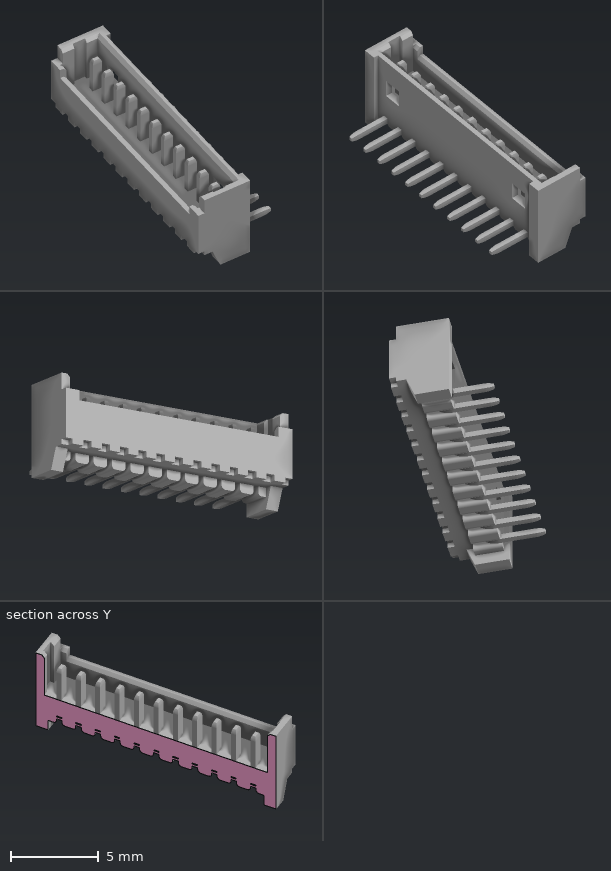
import cadquery as cq
import math


LENGTH = 15.5
HEIGHT = 5.5
END_DEPTH = 3.5
BACK_FACE = 3.21
END_WIDTH = 0.8
BODY_BOTTOM = 1.27
FOOT_TOP_FRONT = 1.0
FOOT_BOTTOM_FRONT = 1.5

SHOULDER_DEPTH = 0.42
SHOULDER_Z = 4.51
FRONT_WALL_TOP = 3.9
FRONT_GAP_MARGIN = 0.95
FRONT_GAP_LENGTH = LENGTH - 2 * FRONT_GAP_MARGIN

CAVITY_FLOOR = 2.55
END_WALL = 0.57
CAVITY_LENGTH = LENGTH - 2 * END_WALL
CAVITY_FRONT = 0.42
CAVITY_BACK = 2.77
LEAD_IN_DROP = 0.2
FRONT_LEAD_IN_DROP = 0.19
LEAD_IN_SIDE = 0.19
LEAD_IN_FRONT = 0.2
LEAD_IN_BACK = 0.22

KEY_FRONT = 1.21
KEY_BACK = 2.05
LEFT_KEY_WALL = 0.37
RIGHT_KEY_WALL = 0.31

PIN_COUNT = 11
PIN_SPAN = 12.51
PITCH = PIN_SPAN / (PIN_COUNT - 1)
PIN_WIDTH = 0.33
PIN_FRONT = 1.75
PIN_DEPTH = 0.62
PIN_TOP = 4.8
POST_TIP_LENGTH = 0.28
POST_TIP_WIDTH = 0.22
POST_TIP_DEPTH = 0.39
TAIL_END = 5.8
TAIL_BOTTOM = 0.87
TAIL_HEIGHT = 0.37
TAIL_TIP_LENGTH = 0.5
TAIL_TIP_SIZE = 0.22
BEND_RADIUS = 1.27

WINDOW_WIDTH = 1.16
WINDOW_BOTTOM = 2.91
WINDOW_TOP = 4.05

RELIEF_DEPTH = 0.42
RELIEF_WIDTH = 0.56
RELIEF_HEIGHT = 0.34
CORNER_RELIEF_WIDTH = 0.46
CORNER_RELIEF_HEIGHT = 0.3
RIB_FRONT = 1.5
RIB_BOTTOM = 0.71
RIB_ROUND = 0.23

pin_xs = [i * PITCH - PIN_SPAN / 2 for i in range(PIN_COUNT)]


def block(x_range, y_range, z_range):
    """Box between the given limits along each axis."""
    sizes = [high - low for low, high in (x_range, y_range, z_range)]
    corner = (x_range[0], y_range[0], z_range[0])
    return cq.Workplane("XY").box(*sizes, centered=False).translate(corner)


def centered(length):
    """Limits of a span centred on zero."""
    return (-length / 2, length / 2)


def housing_blank():
    """Long body with a sloped foot under each end."""
    body = block(centered(LENGTH), (0, BACK_FACE), (BODY_BOTTOM, HEIGHT))
    end_profile = [
        (0, BODY_BOTTOM),
        (FOOT_TOP_FRONT, BODY_BOTTOM),
        (FOOT_BOTTOM_FRONT, 0),
        (END_DEPTH, 0),
        (END_DEPTH, HEIGHT),
        (0, HEIGHT),
    ]
    end = cq.Workplane("YZ").polyline(end_profile).close().extrude(END_WIDTH)
    left = end.translate((-LENGTH / 2, 0, 0))
    return body.union(left).union(left.mirror("YZ"))


def cut_front_steps(housing):
    """Lower the front wall to a shoulder at the ends and further in between."""
    shoulder = block(centered(LENGTH), (0, SHOULDER_DEPTH), (SHOULDER_Z, HEIGHT))
    gap = block(centered(FRONT_GAP_LENGTH), (0, SHOULDER_DEPTH), (FRONT_WALL_TOP, HEIGHT))
    return housing.cut(shoulder).cut(gap)


def rim_lead_in():
    """Tapered opening along the end walls and the back wall."""
    depth = CAVITY_BACK - CAVITY_FRONT
    bottom_z = HEIGHT - LEAD_IN_DROP
    return (
        cq.Workplane("XY", origin=(0, CAVITY_FRONT, bottom_z))
        .center(0, depth / 2)
        .rect(CAVITY_LENGTH, depth)
        .workplane(offset=LEAD_IN_DROP)
        .center(0, LEAD_IN_BACK / 2)
        .rect(CAVITY_LENGTH + 2 * LEAD_IN_SIDE, depth + LEAD_IN_BACK)
        .loft(ruled=True)
    )


def front_lead_in(length, top_z):
    """Wedge that slopes the inner edge of the front wall at height top_z."""
    profile = [
        (CAVITY_FRONT, top_z - FRONT_LEAD_IN_DROP),
        (CAVITY_FRONT, top_z),
        (CAVITY_FRONT - LEAD_IN_FRONT, top_z),
    ]
    return cq.Workplane("YZ").polyline(profile).close().extrude(length / 2, both=True)


def cut_cavity(housing):
    """Hollow the housing, slope its rim and groove its end walls."""
    cavity = block(centered(CAVITY_LENGTH), (CAVITY_FRONT, CAVITY_BACK), (CAVITY_FLOOR, HEIGHT))
    keys = block(
        (LEFT_KEY_WALL - LENGTH / 2, LENGTH / 2 - RIGHT_KEY_WALL),
        (KEY_FRONT, KEY_BACK),
        (CAVITY_FLOOR, HEIGHT),
    )
    housing = housing.cut(cavity).cut(keys).cut(rim_lead_in())
    housing = housing.cut(front_lead_in(CAVITY_LENGTH, SHOULDER_Z))
    return housing.cut(front_lead_in(FRONT_GAP_LENGTH, FRONT_WALL_TOP))


def cut_windows(housing):
    """Open a window through the back wall near each end."""
    center_x = (pin_xs[-1] + pin_xs[-2]) / 2
    x_range = (center_x - WINDOW_WIDTH / 2, center_x + WINDOW_WIDTH / 2)
    window = block(x_range, (CAVITY_BACK, BACK_FACE), (WINDOW_BOTTOM, WINDOW_TOP))
    return housing.cut(window).cut(window.mirror("YZ"))


def cut_reliefs(housing):
    """Notch the lower front edge in front of every pin and at both corners."""
    relief_z = (BODY_BOTTOM, BODY_BOTTOM + RELIEF_HEIGHT)
    for x in pin_xs:
        x_range = (x - RELIEF_WIDTH / 2, x + RELIEF_WIDTH / 2)
        housing = housing.cut(block(x_range, (0, RELIEF_DEPTH), relief_z))
    corner = block(
        (-LENGTH / 2, CORNER_RELIEF_WIDTH - LENGTH / 2),
        (0, RELIEF_DEPTH),
        (BODY_BOTTOM, BODY_BOTTOM + CORNER_RELIEF_HEIGHT),
    )
    return housing.cut(corner).cut(corner.mirror("YZ"))


def add_ribs(housing):
    """Ribs under the body that fill the spaces beside the pins."""
    y_range = (RIB_FRONT, BACK_FACE)
    z_range = (RIB_BOTTOM, BODY_BOTTOM)
    half_pin = PIN_WIDTH / 2
    for left_pin, right_pin in zip(pin_xs, pin_xs[1:]):
        rib = block((left_pin + half_pin, right_pin - half_pin), y_range, z_range)
        housing = housing.union(rib.edges("<Z and |Y").fillet(RIB_ROUND))
    end_rib = block((END_WIDTH - LENGTH / 2, pin_xs[0] - half_pin), y_range, z_range)
    end_rib = end_rib.edges("<Z and >X").fillet(RIB_ROUND)
    return housing.union(end_rib).union(end_rib.mirror("YZ"))


def bar_side(plane, size, tip_size, length, tip_length, thickness):
    """Upright bar whose two sides curve in towards the tip."""
    half = size / 2
    half_tip = tip_size / 2
    shoulder = length - tip_length
    mid_half = (half + half_tip) / 2
    mid_z = shoulder + tip_length * 2 / 3
    return (
        cq.Workplane(plane)
        .moveTo(-half, 0)
        .lineTo(-half, shoulder)
        .threePointArc((-mid_half, mid_z), (-half_tip, length))
        .lineTo(half_tip, length)
        .threePointArc((mid_half, mid_z), (half, shoulder))
        .lineTo(half, 0)
        .close()
        .extrude(thickness, both=True)
    )


def tipped_bar(width, depth, length, tip_width, tip_depth, tip_length):
    """Bar standing on the origin, rounded towards its tip on all four sides."""
    front = bar_side("XZ", width, tip_width, length, tip_length, depth)
    side = bar_side("YZ", depth, tip_depth, length, tip_length, width)
    return front.intersect(side)


def make_pin():
    """Upright post, rounded bend and tail running out at the back."""
    bend_z = TAIL_BOTTOM + BEND_RADIUS
    bend_y = PIN_FRONT + BEND_RADIUS
    post_length = PIN_TOP - bend_z
    tail_length = TAIL_END - bend_y
    post = tipped_bar(
        PIN_WIDTH, PIN_DEPTH, post_length, POST_TIP_WIDTH, POST_TIP_DEPTH, POST_TIP_LENGTH
    )
    post = post.translate((0, PIN_FRONT + PIN_DEPTH / 2, bend_z))
    tail = tipped_bar(
        PIN_WIDTH, TAIL_HEIGHT, tail_length, TAIL_TIP_SIZE, TAIL_TIP_SIZE, TAIL_TIP_LENGTH
    )
    tail = tail.rotate((0, 0, 0), (1, 0, 0), -90)
    tail = tail.translate((0, bend_y, TAIL_BOTTOM + TAIL_HEIGHT / 2))
    diagonal = BEND_RADIUS * math.sin(math.radians(45))
    bend = (
        cq.Workplane("YZ")
        .moveTo(PIN_FRONT, bend_z)
        .threePointArc((bend_y - diagonal, bend_z - diagonal), (bend_y, TAIL_BOTTOM))
        .lineTo(bend_y, TAIL_BOTTOM + TAIL_HEIGHT)
        .lineTo(PIN_FRONT + PIN_DEPTH, TAIL_BOTTOM + TAIL_HEIGHT)
        .lineTo(PIN_FRONT + PIN_DEPTH, bend_z)
        .close()
        .extrude(PIN_WIDTH / 2, both=True)
    )
    return post.union(bend).union(tail)


housing = cut_front_steps(housing_blank())
housing = cut_cavity(housing)
housing = cut_windows(housing)
housing = cut_reliefs(housing)
result = add_ribs(housing)

pin = make_pin()
for pin_x in pin_xs:
    result = result.union(pin.translate((pin_x, 0, 0)))